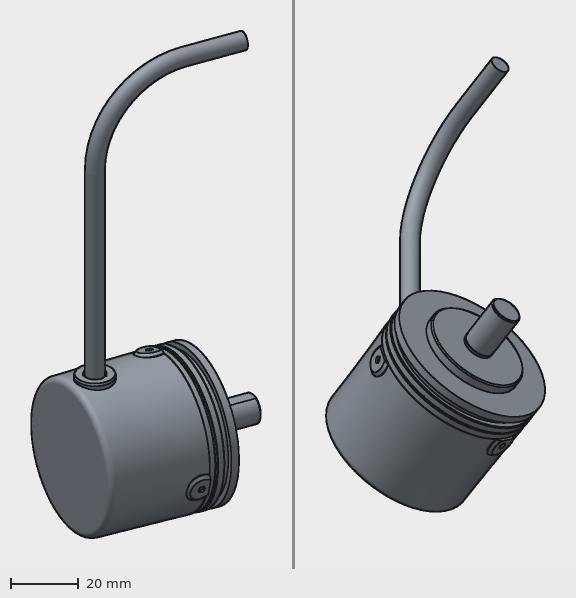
import cadquery as cq
import math

full_turn = 360

cover_end_fillet = 2.0
cover_length = 33.3
rim_end = 35.3
seal_groove_end = 36.0
rear_flange_end = 38.4
clamp_groove_end = 40.5
front_flange_end = 43.1
pilot_end = 46.2
shaft_end = 62.1

cover_end_radius = 24.7
cover_mouth_radius = 25.3
rim_radius = 25.2
seal_groove_radius = 24.9
flange_diameter = 50.8
flange_radius = flange_diameter / 2
rear_flange_chamfer = 0.3
clamp_groove_radius = 23.5
pilot_radius = 16.0
pilot_chamfer = 0.5

shaft_diameter = 9.7
shaft_radius = shaft_diameter / 2
shaft_chamfer = 0.38
relief_depth = 0.2
relief_width = 0.9
flat_length = 10.0
flat_depth = 0.5

boss_count = 3
boss_first_angle = 105
boss_y = 30.7
boss_base_radius = 4.9
boss_top_radius = 3.8
boss_height = 26.0
boss_rim_height = 0.9
boss_root = 21.5
screw_hole_radius = 1.0
screw_hole_depth = 0.8

cable_y = 8.6
cable_diameter = 6.0
cable_radius = cable_diameter / 2
overall_height = 153.4
cable_top = overall_height - flange_radius
bend_radius = 30.0
cable_tail_length = 20.0
grommet_radius = 6.3
grommet_top = 26.2
grommet_chamfer_height = 0.8
grommet_chamfer_width = 0.3
grommet_bore_radius = 3.5
grommet_bore_depth = 0.5
cable_root = 18.4


def make_body():
    """Cover, flanges, pilot and shaft turned about the Y axis."""
    relief_radius = shaft_radius - relief_depth
    relief_end = pilot_end + relief_width
    turned = (
        cq.Workplane("XY")
        .polyline([
            (0, 0),
            (cover_end_radius, 0),
            (cover_mouth_radius, cover_length),
            (rim_radius, cover_length),
            (rim_radius, rim_end),
            (seal_groove_radius, rim_end),
            (seal_groove_radius, seal_groove_end),
            (flange_radius, seal_groove_end),
            (flange_radius, rear_flange_end - rear_flange_chamfer),
            (flange_radius - rear_flange_chamfer, rear_flange_end),
            (clamp_groove_radius, rear_flange_end),
            (clamp_groove_radius, clamp_groove_end),
            (flange_radius, clamp_groove_end),
            (flange_radius, front_flange_end),
            (pilot_radius, front_flange_end),
            (pilot_radius, pilot_end - pilot_chamfer),
            (pilot_radius - pilot_chamfer, pilot_end),
            (relief_radius, pilot_end),
            (relief_radius, relief_end),
            (shaft_radius, relief_end),
            (shaft_radius, shaft_end - shaft_chamfer),
            (shaft_radius - shaft_chamfer, shaft_end),
            (0, shaft_end),
        ])
        .close()
        .revolve(full_turn, (0, 0), (0, 1))
    )
    return turned.faces("<Y").edges().fillet(cover_end_fillet)


def make_flat_cutter():
    """Block that removes the flat on the upper side of the shaft end."""
    return cq.Workplane("XY").box(
        shaft_diameter, flat_length, shaft_radius, centered=(True, False, False)
    ).translate((0, shaft_end - flat_length, shaft_radius - flat_depth))


def radial_plane(angle, distance):
    """Plane facing outward at an angle from +X towards +Z, level with the bosses."""
    outward = (math.cos(math.radians(angle)), 0, math.sin(math.radians(angle)))
    origin = (distance * outward[0], boss_y, distance * outward[2])
    return cq.Workplane(cq.Plane(origin=origin, xDir=(0, 1, 0), normal=outward))


def make_boss(angle):
    """Boss with a sloping rim, cut off level with the cover mouth, and its screw hole."""
    straight_height = boss_height - boss_rim_height - boss_root
    boss = (
        radial_plane(angle, boss_root)
        .circle(boss_base_radius)
        .extrude(straight_height)
    )
    rim = (
        radial_plane(angle, boss_height - boss_rim_height)
        .circle(boss_base_radius)
        .workplane(offset=boss_rim_height)
        .circle(boss_top_radius)
        .loft()
    )
    hole = radial_plane(angle, boss_height).circle(screw_hole_radius).extrude(-screw_hole_depth)
    span = flange_diameter + 2 * boss_base_radius
    beyond_mouth = cq.Workplane("XY").box(
        span, 2 * boss_base_radius, span, centered=(True, False, True)
    ).translate((0, cover_length, 0))
    return boss.union(rim).cut(beyond_mouth), hole


def make_grommet():
    """Collar on top of the cover with a shallow recess around the cable."""
    collar = (
        cq.Workplane("XY", origin=(0, cable_y, cable_root))
        .circle(grommet_radius)
        .extrude(grommet_top - cable_root)
        .faces(">Z")
        .chamfer(grommet_chamfer_height, grommet_chamfer_width)
    )
    recess = (
        cq.Workplane("XY", origin=(0, cable_y, grommet_top))
        .circle(grommet_bore_radius)
        .extrude(-grommet_bore_depth)
    )
    return collar.cut(recess)


def make_cable():
    """Round cable rising from the cover and bending towards +Y."""
    axis_top = cable_top - cable_radius
    bend_start = axis_top - bend_radius
    bend_end_y = cable_y + bend_radius
    half_chord = bend_radius * math.sqrt(0.5)
    path = (
        cq.Workplane("YZ")
        .moveTo(cable_y, cable_root)
        .lineTo(cable_y, bend_start)
        .threePointArc((bend_end_y - half_chord, bend_start + half_chord), (bend_end_y, axis_top))
        .lineTo(bend_end_y + cable_tail_length, axis_top)
    )
    section = cq.Workplane("XY", origin=(0, cable_y, cable_root)).circle(cable_radius)
    return section.sweep(path)


result = make_body().cut(make_flat_cutter())
for index in range(boss_count):
    boss, screw_hole = make_boss(boss_first_angle + index * full_turn / boss_count)
    result = result.union(boss).cut(screw_hole)
result = result.union(make_grommet()).union(make_cable())